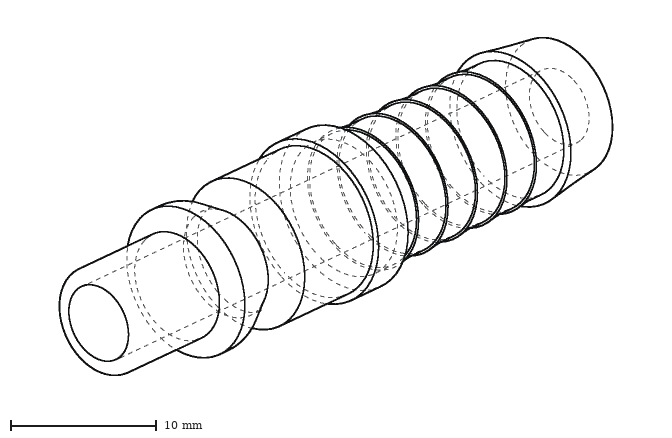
import cadquery as cq
import math

total_length = 47.0
bore_radius = 2.75

plug_radius = 3.95
tip_rounding = 0.5
ring_start = 8.0
ring_rim_start = 8.9
ring_rim_end = 9.75
ring_radius = 5.5
ring_cone_angle = math.radians(30)
neck_start = 12.95
shoulder_position = 15.0
shoulder_fillet = 1.0

collar_start = 22.0
collar_end = 25.0
collar_radius = 5.992

tail_radius = 5.0
barb_radius = 5.15
barb_count = 5
barb_pitch = 3.0
barb_length = barb_pitch / 2
last_barb_gap = 1.97
end_barb_length = 5.0
end_barb_radius = 5.65

ring_cone_rise = 1 - math.cos(ring_cone_angle)
ring_cone_slope = math.tan(ring_cone_angle)
tangent_factor = math.tan(ring_cone_angle / 2)
rim_cone_height = (neck_start - ring_rim_end) * ring_cone_slope
ring_rounding = (rim_cone_height - (ring_radius - plug_radius)) / (ring_cone_slope * tangent_factor)


def arc_middle(center_radius, center_position, radius, angle):
    """Point on a profile arc, with the angle measured from outward radial towards +Y."""
    return (
        center_radius + radius * math.cos(angle),
        center_position + radius * math.sin(angle),
    )


def add_plug(profile):
    """Rounded tip, locking ring and filleted neck, up to the shoulder."""
    tip_middle = arc_middle(plug_radius - tip_rounding, tip_rounding, tip_rounding, math.radians(-45))
    ring_center = ring_radius - ring_rounding
    ring_middle = arc_middle(ring_center, ring_rim_end, ring_rounding, ring_cone_angle / 2)
    ring_tangent = (
        ring_radius - ring_rounding * ring_cone_rise,
        ring_rim_end + ring_rounding * math.sin(ring_cone_angle),
    )
    neck_end = shoulder_position - shoulder_fillet
    fillet_outer = plug_radius + shoulder_fillet
    fillet_middle = arc_middle(fillet_outer, neck_end, shoulder_fillet, math.radians(135))
    return (
        profile
        .lineTo(plug_radius - tip_rounding, 0)
        .threePointArc(tip_middle, (plug_radius, tip_rounding))
        .lineTo(plug_radius, ring_start)
        .lineTo(ring_radius, ring_rim_start)
        .lineTo(ring_radius, ring_rim_end)
        .threePointArc(ring_middle, ring_tangent)
        .lineTo(plug_radius, neck_start)
        .lineTo(plug_radius, neck_end)
        .threePointArc(fillet_middle, (fillet_outer, shoulder_position))
    )


def add_collar(profile):
    """Body cylinder and the larger collar behind it."""
    return (
        profile
        .lineTo(ring_radius, shoulder_position)
        .lineTo(ring_radius, collar_start)
        .lineTo(collar_radius, collar_start)
        .lineTo(collar_radius, collar_end)
        .lineTo(tail_radius, collar_end)
    )


def add_hose_tail(profile):
    """Shallow barbs, steep towards the collar, then the large end barb."""
    for index in range(barb_count):
        barb_start = collar_end + last_barb_gap + index * barb_pitch
        profile = (
            profile
            .lineTo(tail_radius, barb_start)
            .lineTo(barb_radius, barb_start)
            .lineTo(tail_radius, barb_start + barb_length)
        )
    end_barb_start = total_length - end_barb_length
    return (
        profile
        .lineTo(tail_radius, end_barb_start)
        .lineTo(end_barb_radius, end_barb_start)
        .lineTo(tail_radius, total_length)
    )


profile = cq.Workplane("XY").moveTo(bore_radius, 0)
profile = add_plug(profile)
profile = add_collar(profile)
profile = add_hose_tail(profile)
nipple = (
    profile
    .lineTo(bore_radius, total_length)
    .close()
    .revolve(360, (0, 0, 0), (0, 1, 0))
)

result = nipple.translate((0, -total_length / 2, 0))